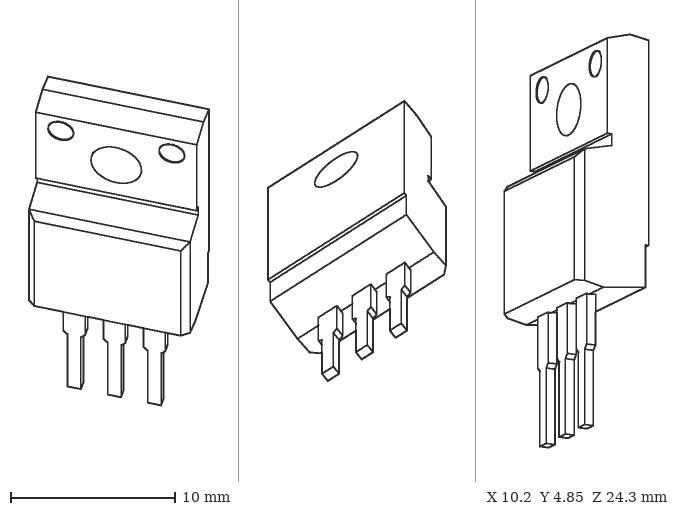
import cadquery as cq


width = 10.15
depth = 4.85
height = 24.3

tab_front_y = 2.02
top_ridge_y = 3.57
tab_back_top_z = height - 0.22
tab_front_top_z = height - 0.41
tab_bottom_z = 17.88

groove_y = tab_front_y + 0.32
groove_bottom_z = 17.15

edge_chamfer = 0.45
shoulder_z = 16.72
bottom_ridge_y = 1.75
bottom_ridge_z = 8.16
front_bottom_z = bottom_ridge_z + 0.36

back_step_depth = 0.22
back_step_z = 11.18
back_bottom_z = 8.5

hole_diameter = 3.18
hole_z = 20.55
mark_diameter = 1.6
mark_depth = 0.07
mark_spacing = 7.0
mark_z = 22.62

lead_count = 3
lead_pitch = 2.53
lead_thickness = 0.6
lead_center_y = 1.87
lead_wide = 1.39
lead_narrow = 0.85
taper_bottom_z = 4.75
taper_top_z = taper_bottom_z + (lead_wide - lead_narrow) / 2


def make_profile():
    """Side outline of the housing, extruded across the full width."""
    outline = [
        (depth, tab_back_top_z),
        (top_ridge_y, height),
        (tab_front_y, tab_front_top_z),
        (tab_front_y, tab_bottom_z),
        (groove_y, tab_bottom_z),
        (groove_y, groove_bottom_z),
        (edge_chamfer, shoulder_z),
        (0, shoulder_z - edge_chamfer),
        (0, front_bottom_z),
        (bottom_ridge_y, bottom_ridge_z),
        (depth - back_step_depth, back_bottom_z),
        (depth - back_step_depth, back_step_z),
        (depth, back_step_z),
    ]
    return cq.Workplane("YZ").polyline(outline).close().extrude(width / 2, both=True)


def make_corner_cutter(side):
    """Upright wedge that bevels one front corner; side is -1 or 1."""
    corner_x = side * width / 2
    triangle = [
        (corner_x, 0),
        (corner_x - side * edge_chamfer, 0),
        (corner_x, edge_chamfer),
    ]
    return cq.Workplane("XY").polyline(triangle).close().extrude(height)


def make_tab_cylinder(x, z, diameter, start_y, length):
    """Cylinder along +Y used to cut round features into the tab."""
    return cq.Workplane("XY").add(
        cq.Solid.makeCylinder(diameter / 2, length, cq.Vector(x, start_y, z), cq.Vector(0, 1, 0))
    )


def make_housing():
    body = make_profile()
    body = body.cut(make_tab_cylinder(0, hole_z, hole_diameter, 0, depth))
    for side in (-1, 1):
        body = body.cut(make_corner_cutter(side))
        mark_x = side * mark_spacing / 2
        body = body.cut(make_tab_cylinder(mark_x, mark_z, mark_diameter, tab_front_y, mark_depth))
    return body


def make_lead(center_x, housing):
    """Stepped flat lead whose top follows the sloped underside of the housing."""
    outline = [
        (-lead_narrow / 2, 0),
        (lead_narrow / 2, 0),
        (lead_narrow / 2, taper_bottom_z),
        (lead_wide / 2, taper_top_z),
        (lead_wide / 2, front_bottom_z),
        (-lead_wide / 2, front_bottom_z),
        (-lead_wide / 2, taper_top_z),
        (-lead_narrow / 2, taper_bottom_z),
    ]
    blank = cq.Workplane("XZ").polyline(outline).close().extrude(lead_thickness / 2, both=True)
    return blank.translate((center_x, lead_center_y, 0)).cut(housing)


housing = make_housing()

leads = []
for index in range(lead_count):
    lead_x = (index - (lead_count - 1) / 2) * lead_pitch
    leads.append(make_lead(lead_x, housing))

result = cq.Compound.makeCompound([housing.val(), *[lead.val() for lead in leads]])